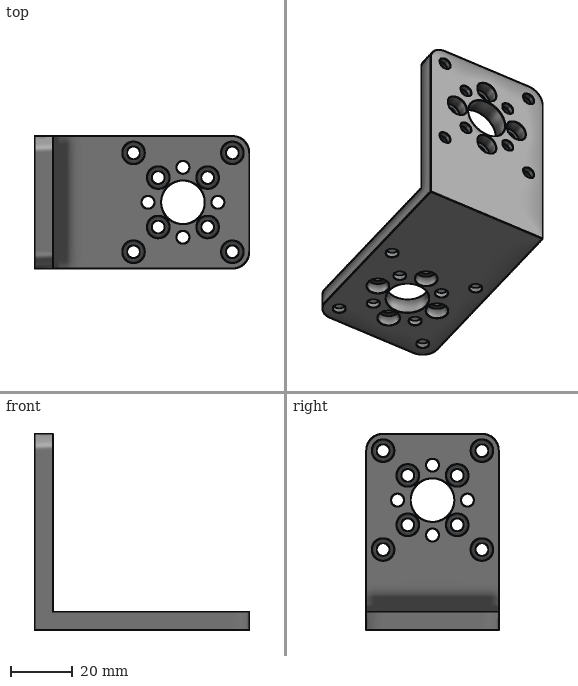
import cadquery as cq
import math

length = 69.5
width = 43.0
height = 63.5
thickness = 6.0
edge_break = 0.15

pattern_inset = width / 2
bore_diameter = 14.0
screw_diameter = 4.0
head_diameter = 7.15
head_depth = 4.0
inner_spacing = 16.0
outer_spacing = 2 * inner_spacing
circle_radius = inner_spacing / math.sqrt(2)

corner_radius = (width - outer_spacing) / 2


def square_points(spacing):
    half = spacing / 2
    return [(x, y) for x in (-half, half) for y in (-half, half)]


inside_head_points = square_points(inner_spacing) + square_points(outer_spacing)
outside_head_points = [
    (circle_radius, 0),
    (-circle_radius, 0),
    (0, circle_radius),
    (0, -circle_radius),
]


def make_blank():
    """L-shaped angle with the outer corner of its section at the origin, centred on Y."""
    section = [
        (0, 0),
        (length, 0),
        (length, thickness),
        (thickness, thickness),
        (thickness, height),
        (0, height),
    ]
    angle = cq.Workplane("XZ").polyline(section).close().extrude(width / 2, both=True)
    angle = angle.faces(">X").edges("|Z").fillet(corner_radius)
    angle = angle.faces(">Z").edges("|X").fillet(corner_radius)

    inner_corner = cq.NearestToPointSelector((thickness, 0, thickness))
    inside_faces = angle.edges(inner_corner).ancestors("Face")
    outlines = inside_faces.add(angle.faces("<X or <Z")).edges()
    return outlines.edges(cq.selectors.InverseSelector(inner_corner)).chamfer(edge_break)


def make_hole_cutter(outside_plane):
    """Solid of all holes in one plate; the plane lies on the outside face, normal pointing inwards."""

    def cylinders(points, diameter, start, end):
        plane = cq.Workplane(outside_plane).workplane(offset=start)
        return plane.pushPoints(points).circle(diameter / 2).extrude(end - start)

    def mouths(points, diameter, face, direction):
        """Cones that break the hole edges on one face of the plate."""
        plane = cq.Workplane(outside_plane).workplane(offset=face)
        circles = plane.pushPoints(points).circle(diameter / 2 + edge_break)
        return circles.extrude(direction * edge_break, taper=45)

    cutter = cq.Workplane(outside_plane)
    for points, diameter_outside, diameter_inside, step in (
        ([(0, 0)], bore_diameter, bore_diameter, thickness / 2),
        (inside_head_points, screw_diameter, head_diameter, thickness - head_depth),
        (outside_head_points, head_diameter, screw_diameter, head_depth),
    ):
        cutter = cutter.add(cylinders(points, diameter_outside, 0, step))
        cutter = cutter.add(cylinders(points, diameter_inside, step, thickness))
        cutter = cutter.add(mouths(points, diameter_outside, 0, 1))
        cutter = cutter.add(mouths(points, diameter_inside, thickness, -1))
    return cutter.combine()


base_plane = cq.Plane(origin=(length - pattern_inset, 0, 0), xDir=(1, 0, 0), normal=(0, 0, 1))
wall_plane = cq.Plane(origin=(0, 0, height - pattern_inset), xDir=(0, 1, 0), normal=(1, 0, 0))

result = make_blank()
for plate_plane in (base_plane, wall_plane):
    result = result.cut(make_hole_cutter(plate_plane))
result = result.solids()